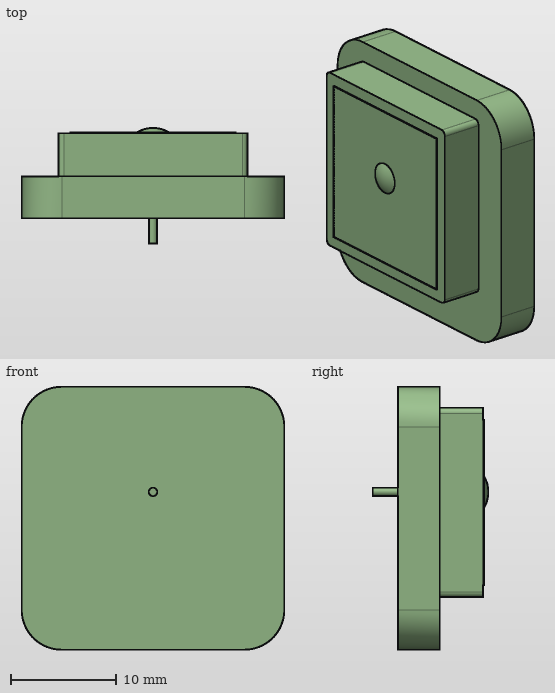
import cadquery as cq

plate_width = 24.98
plate_height = 25.0
plate_thickness = 4.0
plate_corner_radius = 3.8

block_side = 18.0
block_thickness = 4.1
block_corner_radius = 0.5
block_center_z = 1.5

patch_side = 15.7
patch_thickness = 0.1

feed_z = block_center_z + 1.0
pin_diameter = 0.8
pin_length = 2.4
overall_depth = 11.02
dome_radius = 2.9

block_back_y = plate_thickness + block_thickness
patch_back_y = block_back_y + patch_thickness
dome_top_y = overall_depth - pin_length


def slab(width, height, front_y, back_y, center_z):
    """Rectangular slab centred on X = 0, spanning front_y to back_y."""
    depth = back_y - front_y
    return cq.Workplane("XY").box(width, depth, height).translate((0, front_y + depth / 2, center_z))


def make_plate():
    plate = slab(plate_width, plate_height, 0, plate_thickness, 0)
    return plate.edges("|Y").fillet(plate_corner_radius)


def make_block():
    block = slab(block_side, block_side, plate_thickness, block_back_y, block_center_z)
    return block.edges("|Y").fillet(block_corner_radius)


def make_patch():
    return slab(patch_side, patch_side, block_back_y, patch_back_y, block_center_z)


def make_pin():
    pin = cq.Workplane("XZ", origin=(0, 0, feed_z))
    return pin.circle(pin_diameter / 2).extrude(pin_length)


def make_dome():
    """Spherical cap, kept only where it stands behind the block."""
    ball = cq.Workplane("XY").sphere(dome_radius).translate((0, dome_top_y - dome_radius, feed_z))
    cap_limits = slab(2 * dome_radius, 2 * dome_radius, block_back_y, dome_top_y, feed_z)
    return ball.intersect(cap_limits)


result = make_plate().union(make_block()).union(make_patch()).union(make_pin()).union(make_dome())